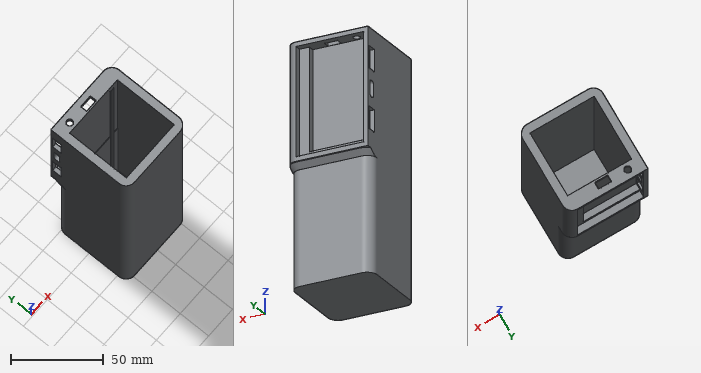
import cadquery as cq

width = 50.0
height = 143.0
body_depth = 49.8
housing_depth = 54.0
corner_radius = 6.0

wall = 5.0
cavity_size = width - 2 * wall
cavity_back = wall + cavity_size
lower_cavity_back = body_depth - wall
floor_thickness = 5.0

housing_bottom = 72.4
flare_height = 3.3
flare_angle = 45.0

rim = 2.7
sill = 6.0
partition = 1.0
recess_front = cavity_back + partition
recess_left = rim
recess_right = 38.0
recess_bottom = housing_bottom + sill
recess_top = height - rim
cover_seat = 49.9
cover_right = width - corner_radius

port_y = 49.8
usb_width = 5.9
usb_length = 13.2
usb_heights = (125.4, 89.7)
charge_width = 4.0
charge_length = 9.6
charge_height = 107.5
charge_radius = 1.5

light_diameter = 4.0
light_x = 9.7
light_y = 48.9
switch_length = 8.0
switch_width = 4.1
switch_x = 24.6
switch_y = 48.2

groove_right = 42.0
groove_width = 3.0
groove_depth = 2.0
groove_top = 136.7


def block(x0, x1, y0, y1, z0, z1):
    """Box between two opposite corners."""
    return cq.Workplane("XY").box(x1 - x0, y1 - y0, z1 - z0, centered=False).translate((x0, y0, z0))


def rounded_body():
    """Full-height body with all four vertical edges rounded."""
    return block(0, width, 0, body_depth, 0, height).edges("|Z").fillet(corner_radius)


def housing():
    """Deeper upper section whose back left edge stays sharp."""
    outline = block(0, width, 0, housing_depth, housing_bottom, height)
    return outline.edges("|Z and (<Y or >X)").fillet(corner_radius)


def flare():
    """Sloped transition under the housing, flush with the body sides."""
    body_outline = (
        cq.Sketch()
        .rect(width, body_depth)
        .vertices()
        .fillet(corner_radius)
    )
    skirt = (
        cq.Workplane("XY")
        .workplane(offset=housing_bottom - flare_height)
        .center(width / 2, body_depth / 2)
        .placeSketch(body_outline)
        .extrude(flare_height, taper=-flare_angle)
    )
    limits = block(0, width, 0, housing_depth, 0, housing_bottom)
    limits = limits.edges("|Z and (<Y or >X)").fillet(corner_radius)
    return skirt.intersect(limits)


def side_port(length, z_center, port_width):
    """Rectangular cutter running from the left side into the recess."""
    return block(
        0, recess_left,
        port_y - port_width / 2, port_y + port_width / 2,
        z_center - length / 2, z_center + length / 2,
    )


result = rounded_body().union(housing()).union(flare())

cavity_right = wall + cavity_size
ledge_height = housing_bottom - flare_height
result = result.cut(block(wall, cavity_right, wall, lower_cavity_back, floor_thickness, height))
result = result.cut(block(wall, cavity_right, wall, cavity_back, ledge_height, height))
result = result.cut(
    block(
        groove_right - groove_width, groove_right,
        lower_cavity_back, cavity_back + groove_depth,
        floor_thickness, groove_top,
    )
)

result = result.cut(
    block(recess_left, recess_right, recess_front, housing_depth, recess_bottom, recess_top)
)
result = result.cut(
    block(rim, cover_right, cover_seat, housing_depth, housing_bottom + rim, height - rim)
)

for usb_height in usb_heights:
    result = result.cut(side_port(usb_length, usb_height, usb_width))
charge_port = side_port(charge_length, charge_height, charge_width)
result = result.cut(charge_port.edges("|X").fillet(charge_radius))

light_hole = (
    cq.Workplane("XY")
    .workplane(offset=recess_top)
    .center(light_x, light_y)
    .circle(light_diameter / 2)
    .extrude(height - recess_top)
)
switch_opening = block(
    switch_x - switch_length / 2, switch_x + switch_length / 2,
    switch_y - switch_width / 2, switch_y + switch_width / 2,
    recess_top, height,
)
result = result.cut(light_hole).cut(switch_opening)